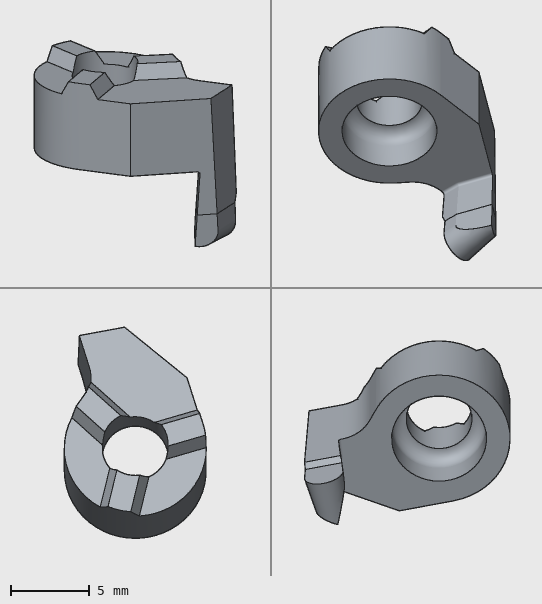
import cadquery as cq
import math

RING_RADIUS = 4.5
RING_HEIGHT = 4.88
BORE_RADIUS = 2.08
SEAT_RADIUS = 3.0
SEAT_DEPTH = 2.78
SEAT_CORNER_RADIUS = 0.91

RIB_COUNT = 3
RIB_HEIGHT = 0.92
RIB_BASE_WIDTH = 2.55
RIB_FLANK_ANGLE = 30.0
RIB_LENGTH = 6.5
FIRST_RIB_ANGLE = 30.0

ARM_BACK_Y = 1.22
ARM_BLEND_RADIUS = 2.5
ARM_LINE_ANGLE = 39.0
FRONT_CORNER_X = 3.5
FRONT_SLOPE = 0.645
ARM_CORE_X = 7.15

NOSE_X = 7.25
NOSE_RADIUS = 1.27
NOSE_BOTTOM_Z = -5.38
CLEARANCE_ANGLE = 6.0
RIGHT_DRAFT = 2.3
LEFT_DRAFT = 4.0
BLADE_DEPTH = 4.68
RELIEF_Y = 0.04
RELIEF_ANGLE = 23.0
LEG_FILLET = 0.2

TIP_TOP_Z = -2.9
TIP_BACK_Y = 0.99
STEP_START_Z = -2.33

MARGIN = 3.9


def tan(angle):
    return math.tan(math.radians(angle))


def front_y(x):
    """Y of the oblique front side at a given X."""
    return -RING_RADIUS + FRONT_SLOPE * (x - FRONT_CORNER_X)


def make_arm_core():
    a = math.radians(ARM_LINE_ANGLE)
    tangent_point = (RING_RADIUS * math.cos(a), RING_RADIUS * math.sin(a))
    corner_x = tangent_point[0] + (tangent_point[1] - ARM_BACK_Y) * tan(ARM_LINE_ANGLE)
    blend_length = ARM_BLEND_RADIUS * tan((90 - ARM_LINE_ANGLE) / 2)
    blend_start = (corner_x - blend_length * math.sin(a), ARM_BACK_Y + blend_length * math.cos(a))
    blend_end = (corner_x + blend_length, ARM_BACK_Y)
    return (
        cq.Workplane("XY")
        .moveTo(0, -RING_RADIUS)
        .lineTo(FRONT_CORNER_X, -RING_RADIUS)
        .lineTo(ARM_CORE_X, front_y(ARM_CORE_X))
        .lineTo(ARM_CORE_X, ARM_BACK_Y)
        .lineTo(*blend_end)
        .radiusArc(blend_start, ARM_BLEND_RADIUS)
        .lineTo(*tangent_point)
        .threePointArc((-RING_RADIUS, 0), (0, -RING_RADIUS))
        .close()
    )


def make_rib(angle, outline):
    half_base = RIB_BASE_WIDTH / 2
    half_top = half_base - RIB_HEIGHT * tan(RIB_FLANK_ANGLE)
    bar = (
        cq.Workplane("YZ")
        .polyline([(-half_base, 0), (half_base, 0), (half_top, RIB_HEIGHT), (-half_top, RIB_HEIGHT)])
        .close()
        .extrude(RIB_LENGTH)
        .rotate((0, 0, 0), (0, 0, 1), angle)
        .translate((0, 0, RING_HEIGHT))
    )
    return bar.intersect(outline)


def make_bore():
    bore = cq.Workplane("XY").circle(BORE_RADIUS).extrude(RING_HEIGHT + RIB_HEIGHT)
    seat = cq.Workplane("XY").circle(SEAT_RADIUS).extrude(SEAT_DEPTH)
    return bore.union(seat.faces(">Z").edges().fillet(SEAT_CORNER_RADIUS))


def make_blade():
    """Leg and tip together, up to the top of the ring."""
    nose_z = NOSE_BOTTOM_Z + NOSE_RADIUS
    top_z = RING_HEIGHT + MARGIN

    def side_points(side, draft):
        a = math.radians(draft)
        x = NOSE_X + side * NOSE_RADIUS * math.cos(a)
        z = nose_z + NOSE_RADIUS * math.sin(a)
        return (x, z), (x - side * (top_z - z) * tan(draft), top_z)

    right_tangent, right_top = side_points(1, RIGHT_DRAFT)
    left_tangent, left_top = side_points(-1, LEFT_DRAFT)
    bar = (
        cq.Workplane("XZ", origin=(0, ARM_BACK_Y, 0))
        .moveTo(*left_top)
        .lineTo(*left_tangent)
        .threePointArc((NOSE_X, NOSE_BOTTOM_Z), right_tangent)
        .lineTo(*right_top)
        .close()
        .extrude(BLADE_DEPTH, taper=CLEARANCE_ANGLE)
    )
    far_x = NOSE_X + MARGIN
    trim = (
        cq.Workplane("XY", origin=(0, 0, NOSE_BOTTOM_Z))
        .polyline([
            (FRONT_CORNER_X, -RING_RADIUS),
            (far_x, front_y(far_x)),
            (far_x, ARM_BACK_Y),
            (FRONT_CORNER_X, ARM_BACK_Y),
        ])
        .close()
        .extrude(RING_HEIGHT - NOSE_BOTTOM_Z)
    )
    return bar.intersect(trim).cut(make_left_relief()).cut(make_back_step())


def make_left_relief():
    """Oblique prism below the ring, leaning with the blade's left side."""
    a = math.radians(LEFT_DRAFT)
    nose_rise = NOSE_RADIUS * (1 + math.sin(a))
    left_x = NOSE_X - NOSE_RADIUS * math.cos(a) + (ARM_BACK_Y - RELIEF_Y) * tan(CLEARANCE_ANGLE)

    def relief_point(y):
        x = left_x + (RELIEF_Y - y) * tan(RELIEF_ANGLE)
        return cq.Vector(x - nose_rise * tan(LEFT_DRAFT), y, NOSE_BOTTOM_Z)

    front = relief_point(RELIEF_Y - MARGIN)
    back = relief_point(RELIEF_Y + MARGIN)
    outside = cq.Vector(back.x, front.y, NOSE_BOTTOM_Z)
    triangle = cq.Wire.makePolygon([front, back, outside], close=True)
    height = -NOSE_BOTTOM_Z
    lean = cq.Vector(height * tan(LEFT_DRAFT), 0, height)
    return cq.Workplane(cq.Solid.extrudeLinear(triangle, [], lean))


def make_back_step():
    return (
        cq.Workplane("YZ")
        .polyline([
            (ARM_BACK_Y, STEP_START_Z),
            (TIP_BACK_Y, TIP_TOP_Z),
            (TIP_BACK_Y, NOSE_BOTTOM_Z),
            (ARM_BACK_Y, NOSE_BOTTOM_Z),
        ])
        .close()
        .extrude(NOSE_X + MARGIN)
    )


def make_holder(blade, tip_space):
    outline = make_arm_core().extrude(RING_HEIGHT + RIB_HEIGHT)
    holder = make_arm_core().extrude(RING_HEIGHT).union(blade.cut(tip_space))
    underside_joint = cq.selectors.BoxSelector(
        (NOSE_X - NOSE_RADIUS, front_y(NOSE_X), -LEG_FILLET / 2),
        (NOSE_X, ARM_BACK_Y, LEG_FILLET / 2),
    )
    holder = holder.edges(underside_joint).fillet(LEG_FILLET)
    for i in range(RIB_COUNT):
        holder = holder.union(make_rib(FIRST_RIB_ANGLE + i * 360 / RIB_COUNT, outline))
    return holder.cut(make_bore())


blade = make_blade()
tip_space = (
    cq.Workplane("XY", origin=(NOSE_X, 0, TIP_TOP_Z))
    .rect(4 * MARGIN, 4 * MARGIN)
    .extrude(NOSE_BOTTOM_Z - TIP_TOP_Z)
)
tip = blade.intersect(tip_space)
holder = make_holder(blade, tip_space)

result = cq.Compound.makeCompound([holder.solids().val(), tip.solids().val()])